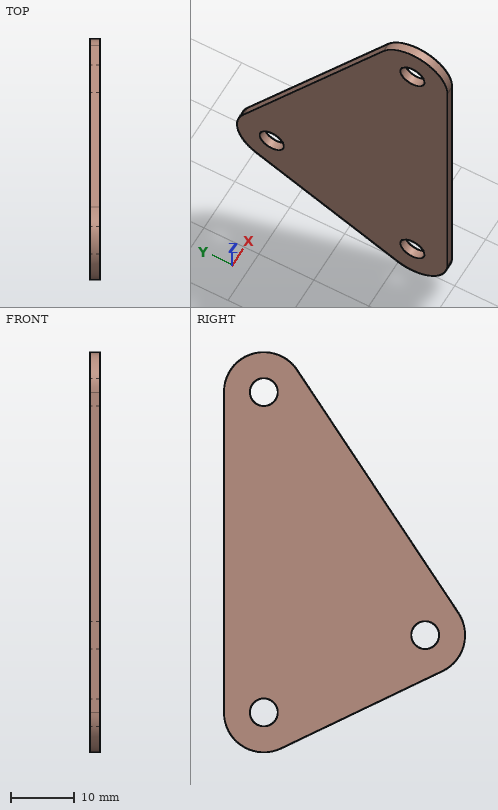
import cadquery as cq
import math

thickness = 1.6
length = 63.5
width = 38.3
corner_radius = 6.35
hole_diameter = 4.4
side_hole_height = 12.25

edge_y = -width / 2 + corner_radius
side_y = width / 2 - corner_radius
lower_z = -length / 2 + corner_radius
upper_z = length / 2 - corner_radius
hole_centers = [
    (edge_y, lower_z),
    (side_y, lower_z + side_hole_height),
    (edge_y, upper_z),
]


def outward_angle(start, end):
    """Direction of the outward normal of a counter-clockwise side."""
    return math.atan2(end[1] - start[1], end[0] - start[0]) - math.pi / 2


def point_on_corner(center, angle):
    return (
        center[0] + corner_radius * math.cos(angle),
        center[1] + corner_radius * math.sin(angle),
    )


def plate_outline():
    """Corner arcs joined by their common tangent lines."""
    count = len(hole_centers)
    outline = cq.Workplane("YZ", origin=(-thickness / 2, 0, 0))
    for i, center in enumerate(hole_centers):
        arrival = outward_angle(hole_centers[i - 1], center)
        departure = outward_angle(center, hole_centers[(i + 1) % count])
        sweep = (departure - arrival) % (2 * math.pi)
        arc_start = point_on_corner(center, arrival)
        arc_middle = point_on_corner(center, arrival + sweep / 2)
        arc_end = point_on_corner(center, departure)
        outline = outline.moveTo(*arc_start) if i == 0 else outline.lineTo(*arc_start)
        outline = outline.threePointArc(arc_middle, arc_end)
    return outline.close()


plate = plate_outline().extrude(thickness)

holes = (
    cq.Workplane("YZ", origin=(-thickness / 2, 0, 0))
    .pushPoints(hole_centers)
    .circle(hole_diameter / 2)
    .extrude(thickness)
)

result = plate.cut(holes)